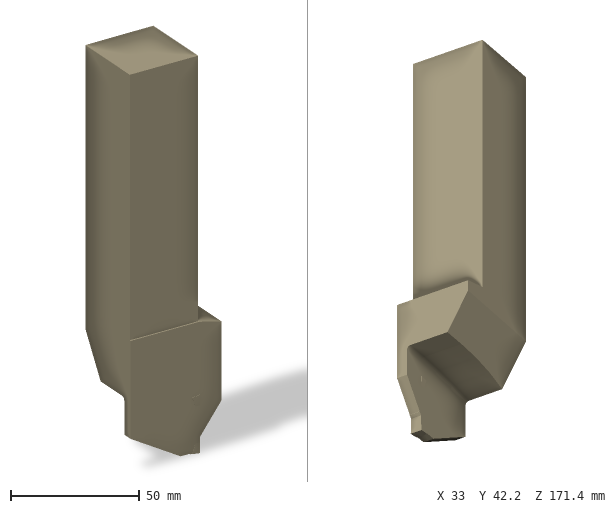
import cadquery as cq
import math

total_height = 171.4
shank_width = 31.9
shank_depth = 31.7
total_depth = 42.2
left_lean = 0.3

head_right = 32.5
head_top = 56.7
lip_rear_top = 54.1
blade_thickness = 4.6
blade_left = head_right - blade_thickness
chamfer_top = 48.8
chamfer_angle = 31.0
underside_height = 33.4
underside_flat_front = 32.0
underside_radius = 180.0
root_fillet = 1.5

blade_bottom = 0.9
blade_bottom_front = 23.1
blade_front_bottom = 14.4
blade_rear_bottom = 20.2
blade_rear_corner = 6.9

insert_front = 27.8
insert_rear = 32.0
insert_length = 25.2
end_relief = 0.5
bulge_rear = 33.0
bulge_low = 8.0
bulge_high = 17.5
bulge_end = 18.8
tip_height = 4.6
tip_base_front = 30.0
tip_end_front = 28.5
tip_overhang = 0.2


def extrude_along_x(outline, left, right):
    return cq.Workplane("YZ").workplane(offset=left).polyline(outline).close().extrude(right - left)


def make_tip():
    """Lower cutting tip, widening downwards to its cutting edge."""
    side_outline = [
        (insert_rear, 0),
        (tip_end_front, end_relief * (insert_rear - tip_end_front) / (insert_rear - insert_front)),
        (tip_base_front, tip_height),
        (insert_rear, tip_height),
    ]
    side = extrude_along_x(side_outline, blade_left - tip_overhang, head_right + tip_overhang)
    taper = (
        cq.Workplane("XZ")
        .polyline([
            (blade_left - tip_overhang, 0),
            (head_right + tip_overhang, 0),
            (head_right, tip_height),
            (blade_left, tip_height),
        ])
        .close()
        .extrude(-total_depth)
    )
    return side.intersect(taper)


def make_insert():
    """Double-ended cutting insert with a bulge on its rear edge."""
    body_outline = [
        (insert_front, end_relief),
        (insert_rear, 0),
        (insert_rear, blade_rear_corner),
        (bulge_rear, bulge_low),
        (bulge_rear, bulge_high),
        (insert_rear, bulge_end),
        (insert_rear, insert_length),
        (insert_front, insert_length - end_relief),
    ]
    body = extrude_along_x(body_outline, blade_left, head_right)
    lower_tip = make_tip()
    upper_tip = lower_tip.mirror("XY", (0, 0, insert_length / 2))
    return body.union(lower_tip).union(upper_tip)


def make_underside_cutter():
    """Space beneath the head, left of the blade, with a rounded inner corner."""
    def arc_height(y):
        drop = underside_radius - math.sqrt(underside_radius**2 - (underside_flat_front - y) ** 2)
        return underside_height - drop

    cutter = (
        cq.Workplane("YZ")
        .workplane(offset=-left_lean)
        .moveTo(0, 0)
        .lineTo(total_depth, 0)
        .lineTo(total_depth, underside_height)
        .lineTo(underside_flat_front, underside_height)
        .threePointArc((underside_flat_front / 2, arc_height(underside_flat_front / 2)), (0, arc_height(0)))
        .close()
        .extrude(blade_left + left_lean)
    )
    upper_inner_edges = cq.selectors.BoxSelector(
        (blade_left - root_fillet, -1.7, arc_height(0) - 1.7),
        (blade_left + root_fillet, total_depth + 1.7, underside_height + 1.7),
    )
    return cutter.edges(">X").edges(upper_inner_edges).fillet(root_fillet)


def make_head():
    plan = [
        (0, 0),
        (head_right, 0),
        (head_right, total_depth),
        (-left_lean, total_depth),
    ]
    side_outline = [
        (0, blade_front_bottom),
        (blade_bottom_front, blade_bottom),
        (insert_rear, blade_bottom),
        (insert_rear, blade_rear_corner),
        (total_depth, blade_rear_bottom),
        (total_depth, lip_rear_top),
        (shank_depth, head_top),
        (0, head_top),
    ]
    head = cq.Workplane("XY").polyline(plan).close().extrude(head_top)
    head = head.intersect(extrude_along_x(side_outline, -left_lean, head_right))

    slope = math.tan(math.radians(chamfer_angle))
    chamfer = (
        cq.Workplane("XZ")
        .polyline([
            (-left_lean, chamfer_top + left_lean / slope),
            (chamfer_top * slope, 0),
            (-left_lean, 0),
        ])
        .close()
        .extrude(-total_depth)
    )
    chamfer = chamfer.intersect(
        cq.Workplane("XY").box(
            blade_left + left_lean, total_depth, total_height, centered=False
        ).translate((-left_lean, 0, 0))
    )
    return head.cut(chamfer).cut(make_underside_cutter())


def make_holder(insert):
    shank_plan = [
        (0, 0),
        (shank_width, 0),
        (shank_width, shank_depth),
        (-left_lean * shank_depth / total_depth, shank_depth),
    ]
    shank = (
        cq.Workplane("XY")
        .workplane(offset=head_top)
        .polyline(shank_plan)
        .close()
        .extrude(total_height - head_top)
    )
    return shank.union(make_head()).cut(insert)


insert = make_insert()
holder = make_holder(insert)

result = cq.Compound.makeCompound([holder.solids().val(), insert.solids().val()])